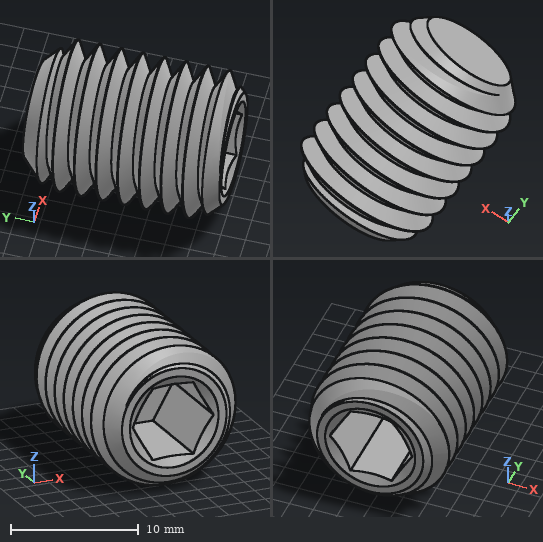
import cadquery as cq
import math

LENGTH = 16.0
MAJOR_DIAMETER = 12.0
MAJOR_RADIUS = MAJOR_DIAMETER / 2
FRONT_FACE_RADIUS = 4.48
BACK_FACE_RADIUS = 4.0

PITCH = LENGTH * 7 / 64
CREST_WIDTH = 0.06
HALF_THREAD_ANGLE = math.radians(30)
FIRST_ROOT = -0.95

HEX_ACROSS_FLATS = MAJOR_DIAMETER / 2
HEX_SIDES = 6
HEX_DEPTH = LENGTH / 2
COUNTERSINK_RADIUS = 3.8
COUNTERSINK_ANGLE = math.radians(30)


def make_blank():
    """Cylinder with a 45 degree chamfer on each end, revolved about local Z."""
    front_chamfer = MAJOR_RADIUS - FRONT_FACE_RADIUS
    back_chamfer = MAJOR_RADIUS - BACK_FACE_RADIUS
    outline = [
        (0, 0),
        (FRONT_FACE_RADIUS, 0),
        (MAJOR_RADIUS, front_chamfer),
        (MAJOR_RADIUS, LENGTH - back_chamfer),
        (BACK_FACE_RADIUS, LENGTH),
        (0, LENGTH),
    ]
    return cq.Workplane("XZ").polyline(outline).close().revolve(360, (0, 0), (0, 1))


def make_threaded_rod():
    """Solid screw-shaped rod, longer than the part, made of ruled faces one turn at a time."""
    depth = (PITCH - CREST_WIDTH) / 2 / math.tan(HALF_THREAD_ANGLE)
    root_radius = MAJOR_RADIUS - depth
    start = FIRST_ROOT - PITCH
    turns = math.ceil((LENGTH - start) / PITCH) + 1
    crest_low = (PITCH - CREST_WIDTH) / 2
    crest_high = crest_low + CREST_WIDTH

    def helix(radius, height):
        one_turn = cq.Wire.makeHelix(PITCH, PITCH, radius)
        return one_turn.translate(cq.Vector(0, 0, height)).Edges()[0]

    def axis_line(height):
        return cq.Edge.makeLine(cq.Vector(0, 0, height), cq.Vector(0, 0, height + PITCH))

    end = start + turns * PITCH
    faces = []
    for turn in range(turns):
        base = start + turn * PITCH
        lines = [
            helix(root_radius, base),
            helix(MAJOR_RADIUS, base + crest_low),
            helix(MAJOR_RADIUS, base + crest_high),
            helix(root_radius, base + PITCH),
        ]
        for lower, upper in zip(lines, lines[1:]):
            faces.append(cq.Face.makeRuledSurface(lower, upper))

    step = [(0, 0), (root_radius, 0), (MAJOR_RADIUS, crest_low),
            (MAJOR_RADIUS, crest_high), (root_radius, PITCH), (0, PITCH)]
    for height in (start, end):
        faces.append(cq.Face.makeRuledSurface(axis_line(height), helix(root_radius, height)))
        corners = [cq.Vector(radius, 0, height + rise) for radius, rise in step]
        faces.append(cq.Face.makeFromWires(cq.Wire.makePolygon(corners, close=True)))
    return cq.Workplane(cq.Solid.makeSolid(cq.Shell.makeShell(faces)))


def make_socket():
    """Blind hexagon with flats facing up and down, plus its conical mouth."""
    corner_diameter = HEX_ACROSS_FLATS / math.cos(math.pi / HEX_SIDES)
    hexagon = cq.Workplane("XY").polygon(HEX_SIDES, corner_diameter).extrude(HEX_DEPTH)
    cone_depth = COUNTERSINK_RADIUS * math.tan(COUNTERSINK_ANGLE)
    cone = cq.Workplane(cq.Solid.makeCone(COUNTERSINK_RADIUS, 0, cone_depth))
    return hexagon.union(cone)


screw = make_threaded_rod().intersect(make_blank()).cut(make_socket())

result = screw.rotate((0, 0, 0), (1, 0, 0), -90)